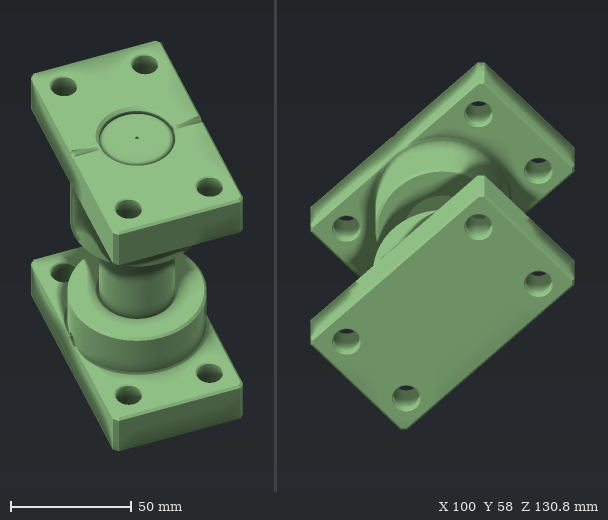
import cadquery as cq
import math

total_height = 130.8
plate_length = 100.0
plate_width = 58.0
plate_thickness = 20.0
edge_chamfer = 1.0
corner_chamfer = 2.0
upper_plate_bottom = total_height - plate_thickness

hole_diameter = 11.0
hole_chamfer = 0.5
hole_spacing_x = 76.0
hole_spacing_y = 36.0

post_diameter = 31.8
post_end_gap = 1.0
post_rounding = 3.3
centre_mark_diameter = 1.6
centre_mark_depth = 1.0
bore_chamfer = 1.3

sleeve_diameter = 55.8
sleeve_length = 30.0
sleeve_fillet = 0.9
collar_diameter = plate_width
collar_height = 19.6
collar_top = plate_thickness + collar_height
relief_depth = 1.0
relief_inner_radius = collar_diameter / 2 - relief_depth
relief_floor_clearance = 0.5
relief_floor_radius = collar_diameter / 2 + relief_floor_clearance
relief_mouth_radius = relief_floor_radius + relief_depth

vent_radius = 2.0
pin_hole_diameter = 6.5


def cylinder(diameter, bottom, top):
    """A vertical cylinder on the post axis."""
    return cq.Workplane("XY", origin=(0, 0, bottom)).circle(diameter / 2).extrude(top - bottom)


def ring(profile):
    """A solid turned about the post axis from (radius, height) points."""
    return cq.Workplane("XZ").polyline(profile).close().revolve(360, (0, 0, 0), (0, 1, 0))


def bore_mouth(top):
    """The conical cut that chamfers the post bore where it opens at height top."""
    bore_radius = post_diameter / 2
    return ring([
        (0, top),
        (bore_radius + bore_chamfer, top),
        (bore_radius, top - bore_chamfer),
        (0, top - bore_chamfer),
    ])


def plate(bottom):
    """A bevelled plate with four through holes, chamfered at both ends."""
    block = (
        cq.Workplane("XY", origin=(0, 0, bottom))
        .box(plate_length, plate_width, plate_thickness, centered=(True, True, False))
        .edges("|Z").chamfer(corner_chamfer)
        .faces("<Z or >Z").edges().chamfer(edge_chamfer)
    )
    holes = (
        cq.Workplane("XY", origin=(0, 0, bottom))
        .rarray(hole_spacing_x, hole_spacing_y, 2, 2)
        .circle(hole_diameter / 2).extrude(plate_thickness)
    )
    drilled = block.cut(holes)
    return drilled.edges("%CIRCLE").chamfer(hole_chamfer)


def sleeve_root():
    """The concave fillet between sleeve and plate, kept within the flat underside of the plate."""
    radius = sleeve_diameter / 2
    top = upper_plate_bottom
    arc_offset = sleeve_fillet * (1 - math.sqrt(0.5))
    fillet_ring = (
        cq.Workplane("XZ")
        .moveTo(post_diameter / 2, top)
        .lineTo(radius + sleeve_fillet, top)
        .threePointArc((radius + arc_offset, top - arc_offset), (radius, top - sleeve_fillet))
        .lineTo(post_diameter / 2, top - sleeve_fillet)
        .close()
        .revolve(360, (0, 0, 0), (0, 1, 0))
    )
    underside = cq.Workplane("XY").box(plate_length, plate_width - 2 * edge_chamfer, 2 * total_height)
    return fillet_ring.intersect(underside)


def make_upper_holder():
    """Upper plate with the sleeve below it, bored for the post and vented across its top."""
    sleeve = (
        cylinder(sleeve_diameter, upper_plate_bottom - sleeve_length, upper_plate_bottom)
        .faces("<Z").edges().chamfer(edge_chamfer)
    )
    bore = cylinder(post_diameter, upper_plate_bottom - sleeve_length, total_height)
    vent = (
        cq.Workplane("XZ", origin=(0, 0, total_height))
        .circle(vent_radius).extrude(plate_width, both=True)
    )
    return (
        plate(upper_plate_bottom).union(sleeve).union(sleeve_root())
        .cut(bore).cut(bore_mouth(total_height)).cut(vent)
    )


def make_lower_holder():
    """Lower plate with the collar on it, a relief groove around the collar and a pin hole on the -Y side."""
    collar = cylinder(collar_diameter, plate_thickness, collar_top).faces(">Z").chamfer(edge_chamfer)
    relief = ring([
        (relief_inner_radius, plate_thickness),
        (relief_mouth_radius, plate_thickness),
        (relief_floor_radius, plate_thickness - relief_depth),
        (relief_inner_radius, plate_thickness - relief_depth),
    ])
    bore = cylinder(post_diameter, 0, collar_top)
    pin_hole = (
        cq.Workplane("XZ", origin=(0, 0, plate_thickness))
        .circle(pin_hole_diameter / 2).extrude(plate_width)
    )
    bored_plate = plate(0).cut(bore).cut(relief).cut(pin_hole)
    bored_collar = collar.cut(bore).cut(bore_mouth(collar_top)).cut(pin_hole)
    return bored_plate.union(bored_collar)


def make_post():
    """A plain round post with a rounded top edge and a small centre mark."""
    post_top = total_height - post_end_gap
    centre_mark = cylinder(centre_mark_diameter, post_top - centre_mark_depth, post_top)
    return (
        cylinder(post_diameter, 0, post_top)
        .faces(">Z").edges().fillet(post_rounding)
        .cut(centre_mark)
    )


upper_holder = make_upper_holder()
lower_holder = make_lower_holder()
post = make_post()

result = cq.Compound.makeCompound([
    upper_holder.solids().val(),
    lower_holder.solids().val(),
    post.solids().val(),
])